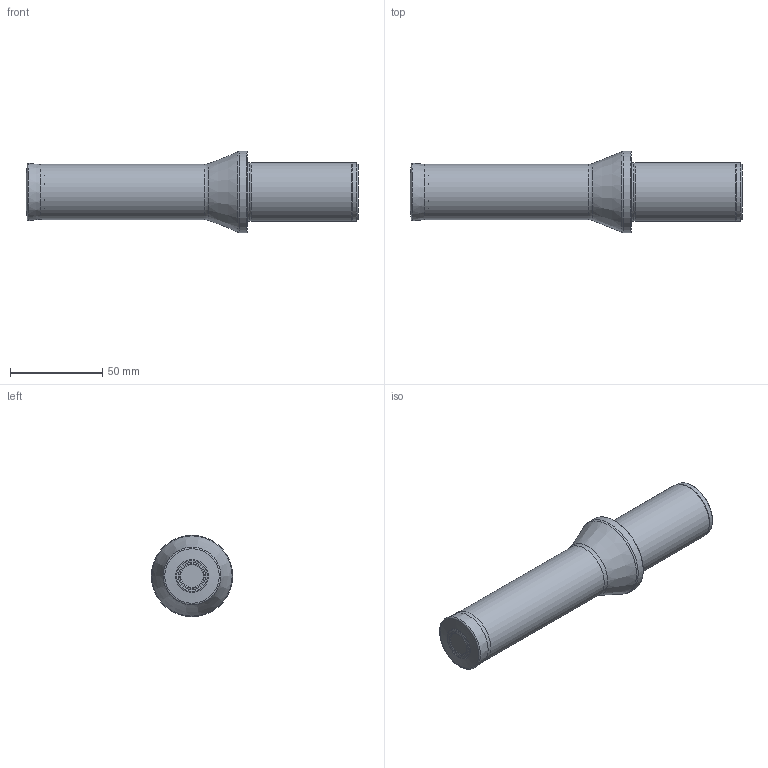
import cadquery as cq
import math

overall_length = 180.0
shank_length = 60.0
tip_x = shank_length - overall_length

neck_diameter = 30.0
neck_blend_radius = 6.0
flange_diameter = 44.0
flange_blend_radius = 3.0
flange_blend_vertex_x = -4.75
flange_cone_angle = 22.0
flange_chamfer = 0.3
shank_diameter = 32.0
relief_diameter = 31.5
front_relief_length = 1.2
front_relief_taper = 0.8
rear_relief_length = 3.2
rear_relief_taper = 0.5
shank_chamfer = 1.0

head_diameter = 31.2
head_exposed_length = 7.75
head_length = 10.0
head_corner_radius = 0.8
rim_setback = 1.2
face_angle = 5.0

outer_ridge_foot_radius = 8.9
outer_ridge_radius = 8.4
ridge_valley_radius = 7.4
inner_ridge_radius = 6.6
flat_radius = 6.1
ridge_height = 0.15


def revolve_about_x(outline):
    return outline.close().revolve(360, (0, 0, 0), (1, 0, 0))


head_taper = (head_diameter - neck_diameter) / 2 / (head_exposed_length - rim_setback)
head_rear_x = tip_x + head_length
head_rear_radius = neck_diameter / 2 - head_taper * (head_length - head_exposed_length)


def make_head():
    base_x = tip_x + ridge_height
    rim_radius = head_diameter / 2
    face_radius = rim_radius - head_corner_radius
    face_edge_x = base_x + (face_radius - outer_ridge_foot_radius) * math.tan(math.radians(face_angle))
    outline = (
        cq.Workplane("XY")
        .moveTo(base_x, 0)
        .lineTo(base_x, flat_radius)
        .lineTo(tip_x, inner_ridge_radius)
        .lineTo(base_x, ridge_valley_radius)
        .lineTo(tip_x, outer_ridge_radius)
        .lineTo(base_x, outer_ridge_foot_radius)
        .lineTo(face_edge_x, face_radius)
        .radiusArc((tip_x + rim_setback, rim_radius), head_corner_radius)
        .lineTo(head_rear_x, head_rear_radius)
        .lineTo(head_rear_x, 0)
    )
    return revolve_about_x(outline)


def make_holder():
    neck_radius = neck_diameter / 2
    flange_radius = flange_diameter / 2
    shank_radius = shank_diameter / 2
    relief_radius = relief_diameter / 2

    cone_angle = math.radians(flange_cone_angle)
    neck_vertex_x = flange_blend_vertex_x - (flange_radius - neck_radius) / math.tan(cone_angle)
    neck_tangent = neck_blend_radius * math.tan(cone_angle / 2)
    flange_tangent = flange_blend_radius * math.tan(cone_angle / 2)
    along_x = math.cos(cone_angle)
    along_r = math.sin(cone_angle)

    rear_relief_x = shank_length - rear_relief_length
    outline = (
        cq.Workplane("XY")
        .moveTo(head_rear_x, 0)
        .lineTo(head_rear_x, head_rear_radius)
        .lineTo(tip_x + head_exposed_length, neck_radius)
        .lineTo(neck_vertex_x - neck_tangent, neck_radius)
        .radiusArc(
            (neck_vertex_x + neck_tangent * along_x, neck_radius + neck_tangent * along_r),
            -neck_blend_radius,
        )
        .lineTo(
            flange_blend_vertex_x - flange_tangent * along_x,
            flange_radius - flange_tangent * along_r,
        )
        .radiusArc((flange_blend_vertex_x + flange_tangent, flange_radius), flange_blend_radius)
        .lineTo(-flange_chamfer, flange_radius)
        .lineTo(0, flange_radius - flange_chamfer)
        .lineTo(0, relief_radius)
        .lineTo(front_relief_length, relief_radius)
        .lineTo(front_relief_length + front_relief_taper, shank_radius)
        .lineTo(rear_relief_x - rear_relief_taper, shank_radius)
        .lineTo(rear_relief_x, relief_radius)
        .lineTo(shank_length - shank_chamfer, relief_radius)
        .lineTo(shank_length, relief_radius - shank_chamfer)
        .lineTo(shank_length, 0)
    )
    return revolve_about_x(outline)


head = make_head()
holder = make_holder()
result = cq.Compound.makeCompound([head.val(), holder.val()])